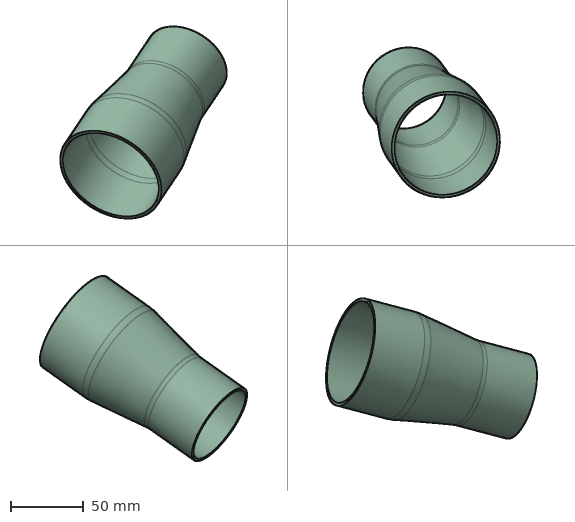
import cadquery as cq
import math

length = 128.0
wide_diameter = 76.2
wide_bore_diameter = 72.0
narrow_diameter = 60.3
narrow_bore_diameter = 56.3

shoulder_y = 40.0
shoulder_reach = 2.5
neck_y = 88.0
neck_reach = 1.7


def reducer_body(wide_radius, narrow_radius):
    """Solid of revolution: wide pipe, rounded shoulder, cone, rounded neck, narrow pipe."""
    cone_angle = math.atan2(wide_radius - narrow_radius, neck_y - shoulder_y)
    inward = math.sin(cone_angle)
    along = math.cos(cone_angle)

    cone_start = (shoulder_y + shoulder_reach * along, wide_radius - shoulder_reach * inward)
    cone_end = (neck_y - neck_reach * along, narrow_radius + neck_reach * inward)

    return (
        cq.Workplane("YZ")
        .lineTo(0, wide_radius)
        .lineTo(shoulder_y - shoulder_reach, wide_radius)
        .tangentArcPoint(cone_start, relative=False)
        .lineTo(*cone_end)
        .tangentArcPoint((neck_y + neck_reach, narrow_radius), relative=False)
        .lineTo(length, narrow_radius)
        .lineTo(length, 0)
        .close()
        .revolve(360, (0, 0, 0), (1, 0, 0))
    )


outside = reducer_body(wide_diameter / 2, narrow_diameter / 2)
bore = reducer_body(wide_bore_diameter / 2, narrow_bore_diameter / 2)
result = outside.cut(bore)